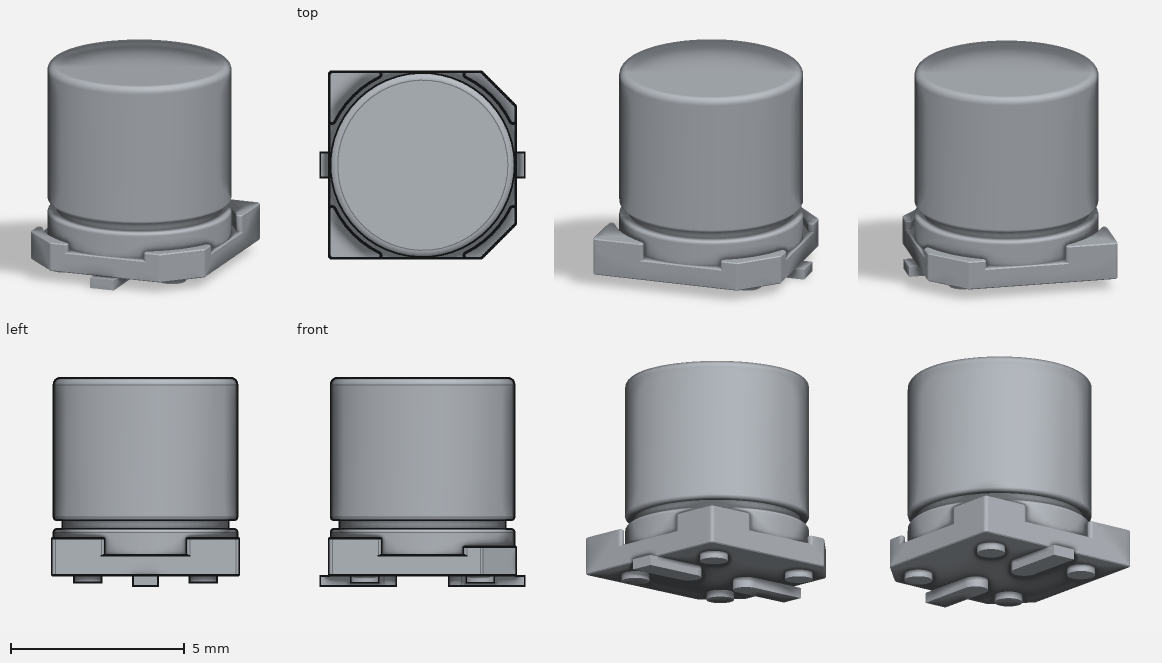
import cadquery as cq

TOTAL_HEIGHT = 6.0
BASE_BOTTOM = 0.3
FLOOR_LEVEL = 0.9
LOW_BLOCK_TOP = 1.15
HIGH_BLOCK_TOP = 1.4
GROOVE_BOTTOM = 1.65
GROOVE_TOP = 1.9

CAN_DIAMETER = 5.3
GROOVE_DIAMETER = 4.8
CAN_TOP_RADIUS = 0.2
GROOVE_LIP_RADIUS = 0.1

BASE_SIZE = 5.4
CORNER_CUT = 1.0
CORNER_RADIUS = 0.1
RECESS_DIAMETER = 5.6
NOTCH_WIDTH = 2.36
BLOCK_TIP_RADIUS = 0.09
EDGE_BREAK = 0.03
BLOCK_ROOT = FLOOR_LEVEL - EDGE_BREAK

LEAD_SPAN = 5.9
LEAD_WIDTH = 0.73
LEAD_INNER_END = 0.75

FOOT_DIAMETER = 0.8
FOOT_SPACING = 3.33
FOOT_BOTTOM = 0.1


def base_prism(bottom, top):
    """Base outline, with cut +X corners and rounded vertical edges."""
    return (
        cq.Workplane("XY")
        .workplane(offset=bottom)
        .rect(BASE_SIZE, BASE_SIZE)
        .extrude(top - bottom)
        .edges("|Z and >X")
        .chamfer(CORNER_CUT)
        .edges("|Z")
        .fillet(CORNER_RADIUS)
    )


def corner_block(x_side, y_side, top):
    """Corner block rising from the floor, hollowed by the round recess."""
    height = top - BLOCK_ROOT
    block_size = (BASE_SIZE - NOTCH_WIDTH) / 2
    block_center = (BASE_SIZE + NOTCH_WIDTH) / 4
    quadrant = (
        cq.Workplane("XY")
        .workplane(offset=BLOCK_ROOT)
        .center(x_side * block_center, y_side * block_center)
        .rect(block_size, block_size)
        .extrude(height)
    )
    recess = (
        cq.Workplane("XY")
        .workplane(offset=BLOCK_ROOT)
        .circle(RECESS_DIAMETER / 2)
        .extrude(height)
    )
    x_wall = ">X" if x_side < 0 else "<X"
    y_wall = ">Y" if y_side < 0 else "<Y"
    return (
        base_prism(BLOCK_ROOT, top)
        .intersect(quadrant)
        .cut(recess)
        .faces(f"{x_wall} or {y_wall}")
        .edges("|Z")
        .fillet(BLOCK_TIP_RADIUS)
        .faces(">Z")
        .edges()
        .chamfer(EDGE_BREAK)
    )


def make_base():
    """Base plate with tall blocks on the -X corners and low ones on the +X corners."""
    base = base_prism(BASE_BOTTOM, FLOOR_LEVEL).faces("<Z or >Z").edges().chamfer(EDGE_BREAK)
    for x_side, top in ((-1, HIGH_BLOCK_TOP), (1, LOW_BLOCK_TOP)):
        for y_side in (-1, 1):
            base = base.union(corner_block(x_side, y_side, top))
    return base


def make_can():
    """Can with a crimp groove between its body and its lower ring."""
    ring = (
        cq.Workplane("XY")
        .workplane(offset=BASE_BOTTOM + EDGE_BREAK)
        .circle(CAN_DIAMETER / 2)
        .extrude(GROOVE_BOTTOM - BASE_BOTTOM - EDGE_BREAK)
        .faces(">Z")
        .edges()
        .fillet(GROOVE_LIP_RADIUS)
    )
    neck = (
        cq.Workplane("XY")
        .workplane(offset=FLOOR_LEVEL)
        .circle(GROOVE_DIAMETER / 2)
        .extrude(GROOVE_TOP - FLOOR_LEVEL)
    )
    body = (
        cq.Workplane("XY")
        .workplane(offset=GROOVE_TOP)
        .circle(CAN_DIAMETER / 2)
        .extrude(TOTAL_HEIGHT - GROOVE_TOP)
        .faces("<Z")
        .edges()
        .fillet(GROOVE_LIP_RADIUS)
        .faces(">Z")
        .edges()
        .fillet(CAN_TOP_RADIUS)
    )
    return ring.union(neck).union(body)


def make_lead(side):
    """Flat lead with a square outer end and a round inner end."""
    outer = side * LEAD_SPAN / 2
    inner = side * LEAD_INNER_END
    round_start = inner + side * LEAD_WIDTH / 2
    half_width = LEAD_WIDTH / 2
    return (
        cq.Workplane("XY")
        .moveTo(outer, -half_width)
        .lineTo(round_start, -half_width)
        .threePointArc((inner, 0), (round_start, half_width))
        .lineTo(outer, half_width)
        .close()
        .extrude(BASE_BOTTOM)
    )


def make_feet():
    """Four round stand-off feet under the base."""
    return (
        cq.Workplane("XY")
        .workplane(offset=FOOT_BOTTOM)
        .rect(FOOT_SPACING, FOOT_SPACING, forConstruction=True)
        .vertices()
        .circle(FOOT_DIAMETER / 2)
        .extrude(BASE_BOTTOM - FOOT_BOTTOM)
    )


result = make_base().union(make_can()).union(make_feet())
for lead_side in (-1, 1):
    result = result.union(make_lead(lead_side))